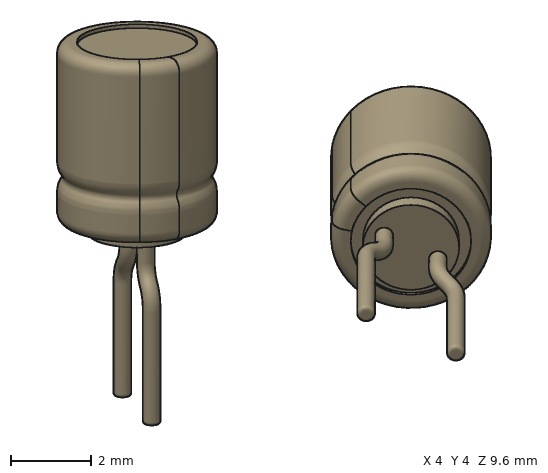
import cadquery as cq
import math


sleeve_diameter = 4.0
sleeve_bottom = 0.3
sleeve_top = 5.0
sleeve_thickness = 0.1
sleeve_edge_radius = 0.3
sleeve_opening_diameter = 3.0

stripe_angle = 30.0

groove_z = 1.5
groove_half_width = 0.4
groove_valley_half = 0.1
groove_shoulder_depth = 0.1

plug_diameter = 2.4

lead_diameter = 0.45
lead_pitch_at_plug = 1.5
lead_pitch_at_tip = 2.5
lead_upper_length = 0.5
lead_bend_height = 1.1
lead_lower_length = 3.0
lead_tip_radius = 0.1

shoulder_height = groove_half_width - groove_valley_half
shoulder_angle = 2 * math.atan(groove_shoulder_depth / shoulder_height)
shoulder_radius = shoulder_height / math.sin(shoulder_angle)
valley_radius = groove_valley_half / math.sin(shoulder_angle)
shoulder_center_r = sleeve_diameter / 2 - shoulder_radius
valley_center_r = shoulder_center_r + (shoulder_radius + valley_radius) * math.cos(shoulder_angle)


def polar(center_r, center_z, radius, angle):
    """Point on a profile circle, with the angle measured from the radial direction."""
    return (center_r + radius * math.cos(angle), center_z + radius * math.sin(angle))


def grooved_cylinder(inset, angle):
    """Rounded, grooved cylinder lying inset below the sleeve surface, revolved from +X by angle."""
    wall_r = sleeve_diameter / 2 - inset
    bottom = sleeve_bottom + inset
    top = sleeve_top - inset
    edge = sleeve_edge_radius - inset
    edge_center_r = wall_r - edge
    shoulder = shoulder_radius - inset
    valley = valley_radius + inset
    lower_z = groove_z - groove_half_width
    upper_z = groove_z + groove_half_width
    eighth = math.pi / 4

    profile = (
        cq.Workplane("XZ")
        .moveTo(0, bottom)
        .lineTo(edge_center_r, bottom)
        .threePointArc(polar(edge_center_r, bottom + edge, edge, -eighth), (wall_r, bottom + edge))
        .lineTo(wall_r, lower_z)
        .threePointArc(
            polar(shoulder_center_r, lower_z, shoulder, shoulder_angle / 2),
            polar(shoulder_center_r, lower_z, shoulder, shoulder_angle),
        )
        .threePointArc(
            (valley_center_r - valley, groove_z),
            polar(shoulder_center_r, upper_z, shoulder, -shoulder_angle),
        )
        .threePointArc(
            polar(shoulder_center_r, upper_z, shoulder, -shoulder_angle / 2),
            (wall_r, upper_z),
        )
        .lineTo(wall_r, top - edge)
        .threePointArc(polar(edge_center_r, top - edge, edge, eighth), (edge_center_r, top))
        .lineTo(0, top)
        .close()
    )
    return profile.revolve(angle, (0, 0), (0, 1))


def make_can():
    return grooved_cylinder(sleeve_thickness, 360)


def make_sleeve_sector(start_angle, sweep_angle):
    """Sector of the sleeve, wrapped around the can and open at the middle of both ends."""
    sector = grooved_cylinder(0, sweep_angle).rotate((0, 0, 0), (0, 0, 1), start_angle)
    end_openings = (
        cq.Workplane("XY")
        .workplane(offset=sleeve_bottom)
        .circle(sleeve_opening_diameter / 2)
        .extrude(sleeve_top - sleeve_bottom)
    )
    return sector.cut(make_can()).cut(end_openings)


def make_plug():
    """Disc that reaches through the sleeve opening up to the underside of the can."""
    can_bottom = sleeve_bottom + sleeve_thickness
    return cq.Workplane("XY").circle(plug_diameter / 2).extrude(can_bottom)


def make_lead(side):
    """Lead with an S-bend that steps outward; side is +1 for +X and -1 for -X."""
    top_x = side * lead_pitch_at_plug / 2
    tip_x = side * lead_pitch_at_tip / 2
    bend_top = -lead_upper_length
    bend_bottom = bend_top - lead_bend_height
    tip_z = bend_bottom - lead_lower_length
    bend_middle = ((top_x + tip_x) / 2, (bend_top + bend_bottom) / 2)

    path = (
        cq.Workplane("XZ")
        .moveTo(top_x, 0)
        .lineTo(top_x, bend_top)
        .tangentArcPoint(bend_middle, relative=False)
        .tangentArcPoint((tip_x, bend_bottom), relative=False)
        .lineTo(tip_x, tip_z)
    )
    lead = cq.Workplane("XY").center(top_x, 0).circle(lead_diameter / 2).sweep(path)
    return lead.faces("<Z").edges().fillet(lead_tip_radius)


can = make_can()
stripe = make_sleeve_sector(-stripe_angle / 2, stripe_angle)
sleeve = make_sleeve_sector(stripe_angle / 2, 360 - stripe_angle)
plug = make_plug()
leads = [make_lead(side) for side in (-1, 1)]

result = cq.Compound.makeCompound(
    [can.val(), sleeve.val(), stripe.val(), plug.val(), *[lead.val() for lead in leads]]
)